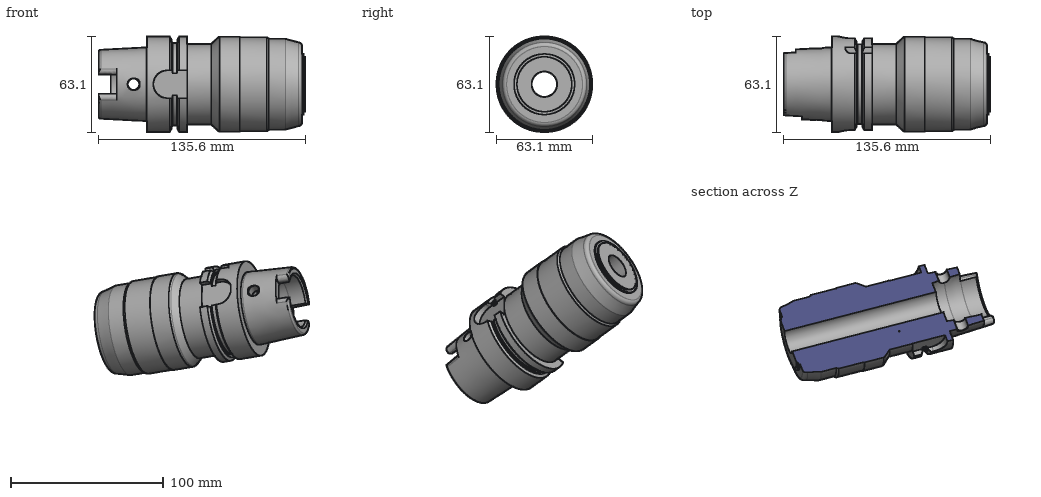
import cadquery as cq
import math

length = 135.6

shank_tip_radius = 22.6
shank_root_radius = 24.3
shank_edge_round = 1.4
taper_end = 30.6
shank_slope = (shank_root_radius - shank_tip_radius) / taper_end

collar_start = 31.7
collar_radius = 31.53
groove_start = 46.6
groove_floor_start = 47.9
groove_land_radius = 29.3
groove_entry_chamfer = 0.8
groove_exit_chamfer = 0.4
groove_floor_end = 51.7
flange_start = 53.0
collar_end = 58.2
groove_radius = 27.3

neck_radius = 26.51
body_cone_start = 73.9
body_cone_end = 78.5
body_cone_end_radius = 30.8
body_shoulder_end = 79.6
body_radius = 31.3
sleeve_start = 92.8
sleeve_radius = 30.98
sleeve_end = 110.4
nose_start = 111.9
nose_radius = 30.0
nose_cone_start = 122.5
nose_cone_end = 131.0
nose_tip_radius = 27.7
nose_round = 2.7
nose_face = nose_cone_end + nose_round
lip_radius = 20.0
lip_end = 134.8
end_radius = 18.0

mouth_radius = 18.5
bore_radius = 17.2
mouth_chamfer = mouth_radius - bore_radius
seat_start = 23.0
seat_radius = 16.7
bore_floor_radius = 15.7
bore_floor = 31.2
through_radius = 8.3

tip_slot_half_width = 6.2
tip_slot_round = 2.7
front_slot_depth = 12.0
rear_slot_depth = 7.9

cross_hole_radius = 3.73
cross_hole_mouth_radius = 4.2
cross_hole_x = 22.9

key_slot_half_width = 9.1
key_slot_end = 36.0
key_slot_floor = 26.3

notch_end = 40.4
notch_wall_y = 20.2
notch_floor_z = 20.2
notch_round = 4.1


def make_body():
    """Outer shape, revolved about X."""
    round_mid = nose_round * math.sqrt(0.5)
    face_radius = nose_tip_radius - nose_round
    profile = (
        cq.Workplane("XZ")
        .lineTo(0, shank_tip_radius)
        .lineTo(taper_end, shank_root_radius)
        .lineTo(collar_start, shank_root_radius)
        .lineTo(collar_start, collar_radius)
        .lineTo(groove_start, collar_radius)
        .lineTo(groove_floor_start, groove_land_radius)
        .lineTo(groove_floor_start, groove_radius + groove_entry_chamfer)
        .lineTo(groove_floor_start + groove_entry_chamfer, groove_radius)
        .lineTo(groove_floor_end - groove_exit_chamfer, groove_radius)
        .lineTo(groove_floor_end, groove_radius + groove_exit_chamfer)
        .lineTo(groove_floor_end, groove_land_radius)
        .lineTo(flange_start, collar_radius)
        .lineTo(collar_end, collar_radius)
        .lineTo(collar_end, neck_radius)
        .lineTo(body_cone_start, neck_radius)
        .lineTo(body_cone_end, body_cone_end_radius)
        .lineTo(body_shoulder_end, body_radius)
        .lineTo(sleeve_start, body_radius)
        .lineTo(sleeve_start, sleeve_radius)
        .lineTo(sleeve_end, sleeve_radius)
        .lineTo(nose_start, nose_radius)
        .lineTo(nose_cone_start, nose_radius)
        .lineTo(nose_cone_end, nose_tip_radius)
        .threePointArc(
            (nose_cone_end + round_mid, face_radius + round_mid),
            (nose_face, face_radius),
        )
        .lineTo(nose_face, lip_radius)
        .lineTo(lip_end, lip_radius)
        .lineTo(lip_end, end_radius)
        .lineTo(length, end_radius)
        .lineTo(length, 0)
        .close()
    )
    return profile.revolve(360, (0, 0, 0), (1, 0, 0))


def make_tip_round():
    """Ring of material removed to round the outer edge of the shank tip."""
    arc_mid = shank_edge_round * (1 - math.sqrt(0.5))
    wall_radius = shank_tip_radius + shank_edge_round * shank_slope
    profile = (
        cq.Workplane("XZ")
        .moveTo(0, wall_radius - shank_edge_round)
        .threePointArc((arc_mid, wall_radius - arc_mid), (shank_edge_round, wall_radius))
        .lineTo(shank_edge_round, collar_radius)
        .lineTo(0, collar_radius)
        .close()
    )
    return profile.revolve(360, (0, 0, 0), (1, 0, 0))


def make_bore():
    """Stepped bore with a chamfered mouth and a through hole."""
    profile = (
        cq.Workplane("XZ")
        .lineTo(0, mouth_radius)
        .lineTo(mouth_chamfer, bore_radius)
        .lineTo(front_slot_depth, bore_radius)
        .lineTo(seat_start, seat_radius)
        .lineTo(bore_floor, bore_floor_radius)
        .lineTo(bore_floor, through_radius)
        .lineTo(length, through_radius)
        .lineTo(length, 0)
        .close()
    )
    return profile.revolve(360, (0, 0, 0), (1, 0, 0))


def cut_tip_slot(part, side, depth):
    """Slot through one wall of the shank tip, with its long outer edges rounded."""
    slot = cq.Workplane("XY").box(
        depth, collar_radius, 2 * tip_slot_half_width, centered=(False, False, True)
    )
    if side < 0:
        slot = slot.mirror("XZ")
    part = part.cut(slot)

    box_inner = side * (mouth_radius + 1.4)
    box_outer = side * collar_radius
    outer_edges = cq.selectors.BoxSelector(
        (0, box_inner, -tip_slot_half_width - 0.1),
        (depth - 0.1, box_outer, tip_slot_half_width + 0.1),
    )
    return part.edges(outer_edges).fillet(tip_slot_round)


def cut_cross_hole(part):
    """Hole through both shank walls along Y, countersunk at the outside."""
    wall_radius = shank_tip_radius + cross_hole_x * shank_slope
    countersink = cross_hole_mouth_radius - cross_hole_radius
    hole = cq.Workplane("XZ").center(cross_hole_x, 0).circle(cross_hole_radius)
    part = part.cut(hole.extrude(collar_radius, both=True))
    for side in (-1, 1):
        cone = cq.Solid.makeCone(
            cross_hole_mouth_radius,
            cross_hole_radius,
            countersink,
            pnt=cq.Vector(cross_hole_x, side * wall_radius, 0),
            dir=cq.Vector(0, -side, 0),
        )
        part = part.cut(cq.Workplane(obj=cone))
    return part


def make_key_slots():
    """Flat, round-ended key slots on both Y sides of the collar."""
    arc_center = key_slot_end + key_slot_half_width
    outline = (
        cq.Workplane("XZ")
        .moveTo(collar_end, -key_slot_half_width)
        .lineTo(arc_center, -key_slot_half_width)
        .threePointArc((key_slot_end, 0), (arc_center, key_slot_half_width))
        .lineTo(collar_end, key_slot_half_width)
        .close()
        .extrude(collar_radius, both=True)
    )
    core = cq.Workplane("XY").box(
        length, 2 * key_slot_floor, 2 * collar_radius, centered=(False, True, True)
    )
    return outline.cut(core)


def make_notch():
    """Corner notch on the +Y, +Z side of the collar."""
    return (
        cq.Workplane("XY")
        .workplane(offset=notch_floor_z)
        .moveTo(notch_end, collar_radius)
        .lineTo(notch_end, notch_wall_y + notch_round)
        .radiusArc((notch_end + notch_round, notch_wall_y), -notch_round)
        .lineTo(collar_end, notch_wall_y)
        .lineTo(collar_end, collar_radius)
        .close()
        .extrude(collar_radius)
    )


result = make_body()
result = result.cut(make_bore())
result = cut_tip_slot(result, -1, front_slot_depth)
result = cut_tip_slot(result, 1, rear_slot_depth)
result = result.cut(make_tip_round())
result = cut_cross_hole(result)
result = result.cut(make_key_slots())
result = result.cut(make_notch())